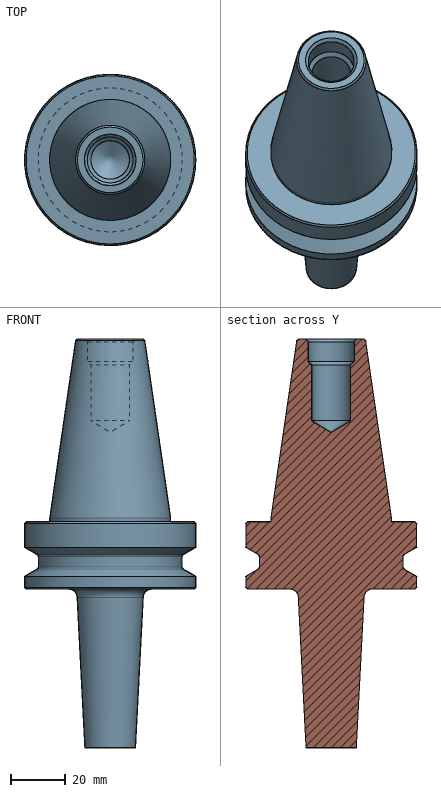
import cadquery as cq
import math

TOTAL_LENGTH = 150.4
FLANGE_BOTTOM = 58.4
FLANGE_TOP = 83.2
GAUGE_PLANE = 84.5

NOSE_TIP_RADIUS = 9.3
NOSE_ROOT_RADIUS = 12.2
NOSE_ROOT_HEIGHT = 55.3
NOSE_FILLET = FLANGE_BOTTOM - NOSE_ROOT_HEIGHT

FLANGE_RADIUS = 31.51
FLANGE_CHAMFER = 0.6
GROOVE_RADIUS = 26.5
GROOVE_BOTTOM = 66.0
GROOVE_ROOT_FILLET = 0.9
GROOVE_TOP = 70.8
GROOVE_FLANK_HEIGHT = (FLANGE_RADIUS - GROOVE_RADIUS) * math.tan(math.radians(30))

TAPER_LARGE_RADIUS = 22.3
TAPER_RATIO = 7 / 24
TAPER_TOP_RADIUS = TAPER_LARGE_RADIUS - (TOTAL_LENGTH - GAUGE_PLANE) * TAPER_RATIO / 2
TAPER_TOP_CHAMFER = 0.6

BORE_MOUTH_RADIUS = 9.5
BORE_RADIUS = 8.4
BORE_STEP_DEPTH = 8.3
THREAD_RADIUS = 7.0
BORE_DEPTH = 30.1
DRILL_TIP_ANGLE = 118.0


def make_body():
    """Revolve the outer profile about Z."""
    fillet_middle = NOSE_FILLET * (1 - math.sqrt(0.5))
    profile = (
        cq.Workplane("XZ")
        .lineTo(NOSE_TIP_RADIUS, 0)
        .lineTo(NOSE_ROOT_RADIUS, NOSE_ROOT_HEIGHT)
        .threePointArc(
            (NOSE_ROOT_RADIUS + fillet_middle, FLANGE_BOTTOM - fillet_middle),
            (NOSE_ROOT_RADIUS + NOSE_FILLET, FLANGE_BOTTOM),
        )
        .lineTo(FLANGE_RADIUS - FLANGE_CHAMFER, FLANGE_BOTTOM)
        .lineTo(FLANGE_RADIUS, FLANGE_BOTTOM + FLANGE_CHAMFER)
        .lineTo(FLANGE_RADIUS, GROOVE_BOTTOM - GROOVE_FLANK_HEIGHT)
        .lineTo(GROOVE_RADIUS, GROOVE_BOTTOM)
        .lineTo(GROOVE_RADIUS, GROOVE_TOP)
        .lineTo(FLANGE_RADIUS, GROOVE_TOP + GROOVE_FLANK_HEIGHT)
        .lineTo(FLANGE_RADIUS, FLANGE_TOP - FLANGE_CHAMFER)
        .lineTo(FLANGE_RADIUS - FLANGE_CHAMFER, FLANGE_TOP)
        .lineTo(TAPER_LARGE_RADIUS, FLANGE_TOP)
        .lineTo(TAPER_LARGE_RADIUS, GAUGE_PLANE)
        .lineTo(TAPER_TOP_RADIUS, TOTAL_LENGTH)
        .lineTo(0, TOTAL_LENGTH)
        .close()
    )
    body = profile.revolve(360, (0, 0), (0, 1))
    body = body.faces(">Z").edges().chamfer(TAPER_TOP_CHAMFER)
    groove_root = cq.selectors.BoxSelector(
        (-FLANGE_RADIUS, -FLANGE_RADIUS, GROOVE_BOTTOM - GROOVE_ROOT_FILLET),
        (FLANGE_RADIUS, FLANGE_RADIUS, GROOVE_TOP + GROOVE_ROOT_FILLET),
    )
    return body.edges("%CIRCLE").edges(groove_root).fillet(GROOVE_ROOT_FILLET)


def make_bore():
    """Stepped blind bore with a countersunk mouth and a conical drill tip."""
    mouth_depth = BORE_MOUTH_RADIUS - BORE_RADIUS
    step_height = TOTAL_LENGTH - BORE_STEP_DEPTH
    step_chamfer = BORE_RADIUS - THREAD_RADIUS
    floor_height = TOTAL_LENGTH - BORE_DEPTH
    tip_depth = THREAD_RADIUS / math.tan(math.radians(DRILL_TIP_ANGLE / 2))
    profile = (
        cq.Workplane("XZ")
        .moveTo(0, TOTAL_LENGTH)
        .lineTo(BORE_MOUTH_RADIUS, TOTAL_LENGTH)
        .lineTo(BORE_RADIUS, TOTAL_LENGTH - mouth_depth)
        .lineTo(BORE_RADIUS, step_height)
        .lineTo(THREAD_RADIUS, step_height - step_chamfer)
        .lineTo(THREAD_RADIUS, floor_height)
        .lineTo(0, floor_height - tip_depth)
        .close()
    )
    return profile.revolve(360, (0, 0), (0, 1))


result = make_body().cut(make_bore())